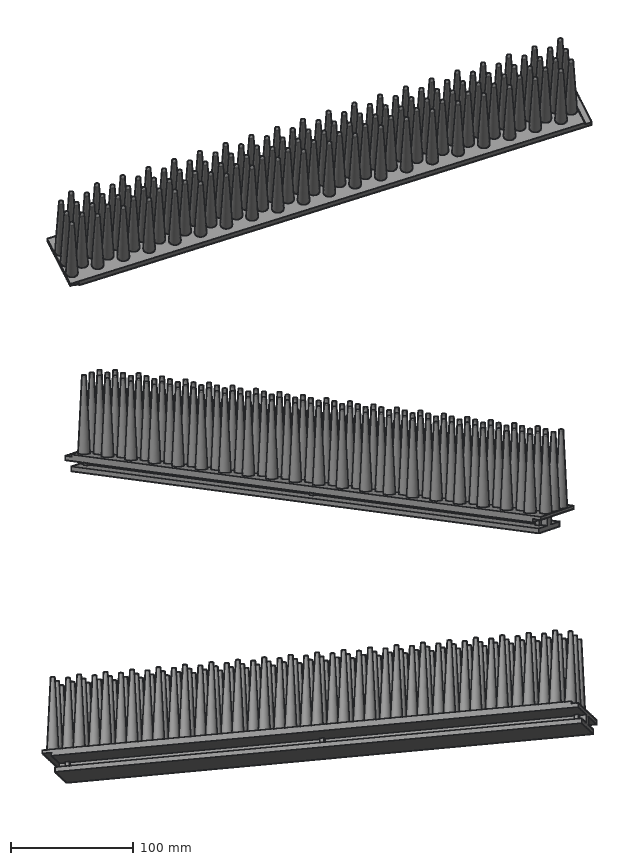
import cadquery as cq

OVERALL_LENGTH = 459.0
OVERALL_HEIGHT = 81.5
PLATE_WIDTH = 51.0

FLANGE_WIDTH = 32.0
FLANGE_THICKNESS = 4.0
WEB_WIDTH = 6.5
WEB_HEIGHT = 7.0

RIB_WIDTH = 12.5
RIB_THICKNESS = 3.5
RIB_PITCH = 218.0

PLATE_THICKNESS = 5.5
TONGUE_LENGTH = 8.0
TONGUE_THICKNESS = 2.8
LEDGE_LENGTH = 6.0
LEDGE_DEPTH = 2.0

ROW_COUNT = 40
PINS_PER_ROW = 3
PIN_SPACING = 12.0
ROW_STAGGER = PIN_SPACING / 2
PIN_BASE_RADIUS = 5.0
PIN_TIP_RADIUS = 2.0
PIN_TIP_FILLET = 1.0
PIN_EMBED = 1.0

FRONT_Y = -OVERALL_LENGTH / 2
BACK_Y = OVERALL_LENGTH / 2
BODY_FRONT_Y = FRONT_Y + TONGUE_LENGTH
BODY_MIDDLE_Y = (BODY_FRONT_Y + BACK_Y) / 2
PLATE_BOTTOM_Z = FLANGE_THICKNESS + WEB_HEIGHT
PLATE_TOP_Z = PLATE_BOTTOM_Z + PLATE_THICKNESS
PIN_HEIGHT = OVERALL_HEIGHT - PLATE_TOP_Z
ROW_PITCH = (OVERALL_LENGTH - LEDGE_LENGTH) / ROW_COUNT


def make_bar(width, y_start, y_end, z_start, z_end):
    """Rectangular bar centred on X = 0."""
    length = y_end - y_start
    bar = cq.Workplane("XY").box(width, length, z_end - z_start, centered=(True, False, False))
    return bar.translate((0, y_start, z_start))


def make_plate():
    """Plate with a thin tongue at -Y and a lowered ledge at +Y."""
    profile = [
        (FRONT_Y, PLATE_TOP_Z),
        (FRONT_Y, PLATE_TOP_Z - TONGUE_THICKNESS),
        (BODY_FRONT_Y, PLATE_TOP_Z - TONGUE_THICKNESS),
        (BODY_FRONT_Y, PLATE_BOTTOM_Z),
        (BACK_Y, PLATE_BOTTOM_Z),
        (BACK_Y, PLATE_TOP_Z - LEDGE_DEPTH),
        (BACK_Y - LEDGE_LENGTH, PLATE_TOP_Z - LEDGE_DEPTH),
        (BACK_Y - LEDGE_LENGTH, PLATE_TOP_Z),
    ]
    return cq.Workplane("YZ").polyline(profile).close().extrude(PLATE_WIDTH / 2, both=True)


def make_rail():
    """Bottom flange, narrow web and the cross ribs at both ends and the middle."""
    flange = make_bar(FLANGE_WIDTH, BODY_FRONT_Y, BACK_Y, 0, FLANGE_THICKNESS)
    web = make_bar(WEB_WIDTH, BODY_FRONT_Y, BACK_Y, FLANGE_THICKNESS, PLATE_BOTTOM_Z)
    rail = flange.union(web)
    for step in (-1, 0, 1):
        rib_start = BODY_MIDDLE_Y + step * RIB_PITCH - RIB_THICKNESS / 2
        rib = make_bar(RIB_WIDTH, rib_start, rib_start + RIB_THICKNESS, FLANGE_THICKNESS, PLATE_BOTTOM_Z)
        rail = rail.union(rib)
    return rail


def pin_centres():
    """Pin axes, with alternate rows shifted to -X and +X."""
    centres = []
    for row in range(ROW_COUNT):
        y = FRONT_Y + (row + 0.5) * ROW_PITCH
        side = 1 if row % 2 == 0 else -1
        for column in range(PINS_PER_ROW):
            x = (column - (PINS_PER_ROW - 1) / 2) * PIN_SPACING + side * ROW_STAGGER / 2
            centres.append((x, y))
    return centres


def make_pin():
    """Cone frustum with a rounded tip, on a short root that sinks into the plate."""
    profile = [
        (0, -PIN_EMBED),
        (PIN_BASE_RADIUS, -PIN_EMBED),
        (PIN_BASE_RADIUS, 0),
        (PIN_TIP_RADIUS, PIN_HEIGHT),
        (0, PIN_HEIGHT),
    ]
    cone = cq.Workplane("XZ").polyline(profile).close().revolve(360, (0, 0), (0, 1))
    return cone.faces(">Z").edges().fillet(PIN_TIP_FILLET).val()


def make_pins():
    """One pin at every centre, standing on the plate top."""
    pin = make_pin()
    spots = cq.Workplane("XY", origin=(0, 0, PLATE_TOP_Z)).pushPoints(pin_centres())
    return spots.eachpoint(lambda location: pin.moved(location), combine=False)


body = make_plate().union(make_rail())
result = body.union(make_pins())